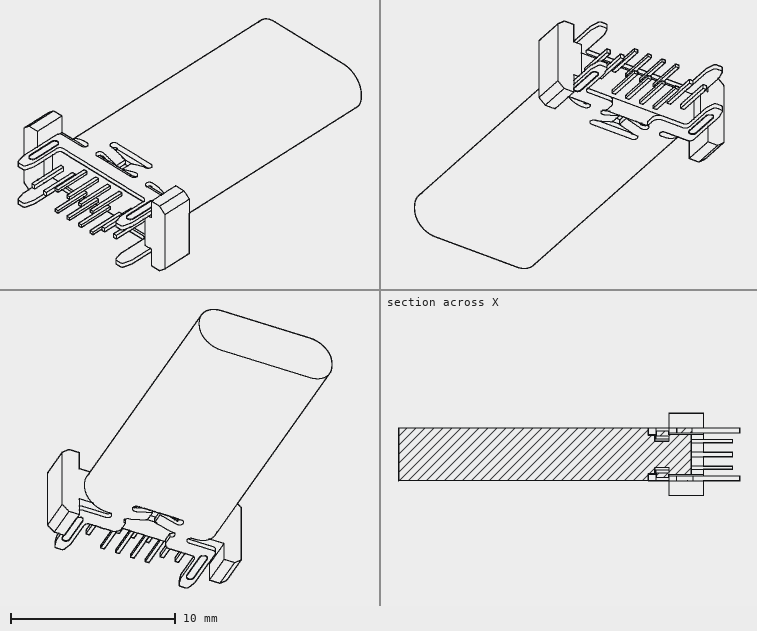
import cadquery as cq

total_width = 12.0
total_length = 20.7
wing_height = 5.0
leg_length = 2.2
body_end = total_length - leg_length

metal_offset = 0.052
shell_width = 8.9
shell_thickness = 3.2
shell_radius = 1.5
shell_face = shell_thickness / 2
plate_thickness = 0.31
plate_inner = shell_face - plate_thickness

wing_length = 2.11
wing_inner = 4.85
wing_chamfer_x = 0.45
wing_chamfer_z = 0.4
core_half_height = 1.22
core_half_width = 4.3
core_recess = 0.75

leg_center = 4.16
leg_width = 0.95
leg_tip_width = 0.58
leg_taper_start = -1.51
leg_tip_radius = 0.17
shoulder_bottom = 0.7
lower_shoulder_drop = 0.052
shoulder_radius = 0.27
leg_groove_width = 0.48
leg_groove_top = 0.97
leg_groove_bottom = -1.4
leg_groove_depth = 0.06
notch_half_width = 1.5
notch_radius = 0.43

slot_width = 0.48
slot_bottom = 1.64
side_slot_end = 2.55
window_slot_length = 3.37
upper_slot_bottom = 2.88
window_half_width = 1.45
tab_bend = 1.35
tab_bend_radius = 0.48
tab_inner = 0.25
tab_drop = 0.35
tab_thickness = plate_thickness
pocket_half_width = 1.3
pocket_depth = 0.41
pocket_top = 2.95
recess_half_width = 1.4
recess_depth = 0.06

pin_pitch = 1.0
pin_width = 0.25
pin_end = -1.75
inner_pin_height = 0.2
inner_pin_z = 0.8
outer_pin_height = 0.3

slot_radius = slot_width / 2
slot_top = slot_bottom + slot_width
upper_slot_top = upper_slot_bottom + slot_width


def block(x_min, x_max, y_min, y_max, z_min, z_max):
    size = (x_max - x_min, y_max - y_min, z_max - z_min)
    return cq.Workplane("XY").box(*size, centered=False).translate((x_min, y_min, z_min))


def rounded_slot(x, y, length, width, z_min, z_max, angle=0):
    plane = cq.Workplane("XY").workplane(offset=z_min).center(x, y)
    return plane.slot2D(length, width, angle).extrude(z_max - z_min)


def make_shell():
    length = body_end - wing_length
    outline = cq.Workplane("XZ", origin=(0, body_end, 0)).rect(shell_width, shell_thickness)
    return outline.extrude(length).edges("|Y").fillet(shell_radius)


def make_wing():
    outer = total_width / 2
    wing = block(wing_inner, outer, 0, wing_length, -wing_height / 2, wing_height / 2)
    wing = wing.edges("|Y and >X").chamfer(wing_chamfer_z, wing_chamfer_x)
    arm = block(core_half_width, wing_inner, 0, wing_length, -core_half_height, core_half_height)
    return wing.union(arm)


def make_core():
    return block(-core_half_width, core_half_width, core_recess, wing_length,
                 -core_half_height, core_half_height)


def make_leg():
    """Tapered leg on the +X side, rising into the plate's shoulder."""
    half_width = leg_width / 2
    half_tip = leg_tip_width / 2
    leg_top = slot_bottom - shoulder_radius
    leg = (
        cq.Workplane("XY", origin=(leg_center, 0, plate_inner))
        .moveTo(-half_width, leg_top)
        .lineTo(-half_width, leg_taper_start)
        .lineTo(-half_tip, -leg_length)
        .lineTo(half_tip, -leg_length)
        .lineTo(half_width, leg_taper_start)
        .lineTo(half_width, leg_top)
        .close()
        .extrude(plate_thickness)
        .edges("|Z and <Y")
        .fillet(leg_tip_radius)
    )
    return leg


def make_leg_groove():
    """Shallow stiffening groove along the outer face of the +X leg."""
    groove_length = leg_groove_top - leg_groove_bottom
    groove_y = (leg_groove_top + leg_groove_bottom) / 2
    groove = rounded_slot(leg_center, groove_y, groove_length, leg_groove_width,
                          shell_face - leg_groove_depth, shell_face, 90)
    return groove


def make_plate(bottom):
    """Mounting plate on the +Z face, with its shoulder edge at the given Y."""
    outer = leg_center + leg_width / 2
    inner = leg_center - leg_width / 2
    leg = make_leg()
    groove = make_leg_groove()
    plate = block(-outer, outer, bottom, slot_bottom, plate_inner, shell_face)
    plate = plate.edges("|Z and >Y").fillet(shoulder_radius)
    plate = plate.union(leg).union(leg.mirror("YZ"))
    for x in (-inner, inner):
        corner = cq.selectors.NearestToPointSelector((x, bottom, plate_inner + plate_thickness / 2))
        plate = plate.edges("|Z").edges(corner).fillet(shoulder_radius)
    plate = plate.cut(groove).cut(groove.mirror("YZ"))

    neck = side_slot_end + slot_radius
    slot_length = outer - side_slot_end
    slot_x = (outer + side_slot_end) / 2
    plate = plate.union(block(-neck, neck, slot_bottom, wing_length, plate_inner, shell_face))
    for x in (-slot_x, slot_x):
        plate = plate.cut(rounded_slot(x, slot_bottom + slot_radius, slot_length, slot_width,
                                       plate_inner, shell_face))
    return plate


def make_tab():
    """Tab on the +X side of the window, bent down towards the centre."""
    tab_low = shell_face - tab_drop
    tab = (
        cq.Workplane("XZ", origin=(0, upper_slot_bottom, 0))
        .moveTo(window_half_width, shell_face)
        .lineTo(tab_bend, shell_face)
        .lineTo(tab_inner, tab_low)
        .lineTo(tab_inner, tab_low - tab_thickness)
        .lineTo(tab_bend, shell_face - tab_thickness)
        .lineTo(window_half_width, shell_face - tab_thickness)
        .close()
        .extrude(upper_slot_bottom - slot_top)
    )
    bend = cq.selectors.NearestToPointSelector((tab_bend, slot_top, shell_face))
    return tab.edges("|Y").edges(bend).fillet(tab_bend_radius)


def cut_window(body):
    """Latch window in the +Z face: two slots and two bent tabs above a pocket."""
    floor = core_half_height
    for y in (slot_bottom, upper_slot_bottom):
        body = body.cut(rounded_slot(0, y + slot_radius, window_slot_length, slot_width,
                                     floor, shell_face))
    body = body.cut(block(-window_half_width, window_half_width, slot_top - slot_radius,
                          upper_slot_bottom + slot_radius, floor, shell_face))
    body = body.cut(block(-recess_half_width, recess_half_width, slot_top, upper_slot_top,
                          floor - recess_depth, floor))
    body = body.cut(block(-pocket_half_width, pocket_half_width, slot_top, pocket_top,
                          floor - pocket_depth, floor))
    tab = make_tab()
    return body.union(tab).union(tab.mirror("YZ"))


def cut_notch(body, bottom):
    """Opening through the lower shoulder, flared by rounded corners at its mouth."""
    reach = notch_half_width + notch_radius
    arc_top = bottom + notch_radius
    notch = block(-notch_half_width, notch_half_width, bottom, slot_bottom + slot_radius,
                  -shell_face, -plate_inner)
    notch = notch.union(block(-reach, reach, bottom, arc_top, -shell_face, -plate_inner))
    for x in (-reach, reach):
        corner = cq.Workplane("XY", origin=(x, arc_top, -shell_face)).circle(notch_radius)
        notch = notch.cut(corner.extrude(plate_thickness))
    return body.cut(notch)


def add_pins(body):
    """Eight pin columns at one pitch: the inner four are doubled, the outer four lie at mid-height."""
    inner_steps = (0.5, 1.5)
    outer_steps = (2.5, 3.5)
    rows = [
        (inner_pin_z, inner_pin_height, inner_steps),
        (-inner_pin_z, inner_pin_height, inner_steps),
        (0, outer_pin_height, outer_steps),
    ]
    for z, height, steps in rows:
        for step in steps:
            for side in (-1, 1):
                x = side * step * pin_pitch
                body = body.union(block(x - pin_width / 2, x + pin_width / 2, pin_end, core_recess,
                                        z - height / 2, z + height / 2))
    return body


lower_bottom = shoulder_bottom - lower_shoulder_drop

metal = make_shell().union(make_core().translate((-metal_offset, 0, 0)))
metal = metal.union(make_plate(shoulder_bottom))
metal = metal.union(make_plate(lower_bottom).mirror("XY"))
for _ in range(2):
    metal = cut_window(metal).mirror("XY")
metal = cut_notch(metal, lower_bottom)

wing = make_wing()
connector = metal.translate((metal_offset, 0, 0)).union(wing).union(wing.mirror("YZ"))
result = add_pins(connector)